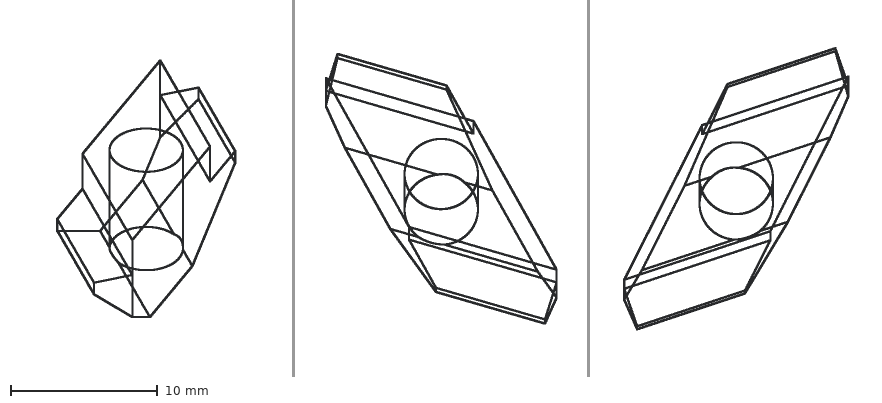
import cadquery as cq

length = 19.0
width = 14.0
height = 8.3

neck_width = 8.5
neck_height = 2.95
flange_edge_height = 0.99
base_width = 4.64

hole_diameter = 5.0

flange_top = height - neck_height
flange_bottom = flange_top - flange_edge_height

section = (
    cq.Workplane("YZ")
    .moveTo(base_width / 2, 0)
    .lineTo(width / 2, flange_bottom)
    .lineTo(width / 2, flange_top)
    .lineTo(neck_width / 2, flange_top)
    .lineTo(neck_width / 2, height)
    .lineTo(0, height)
    .lineTo(0, 0)
    .close()
)
half_bar = section.extrude(length / 2, both=True)
bar = half_bar.union(half_bar.mirror("XZ"))

end_x = length / 2
side_y = width / 2
cut_y = neck_width / 2
cut_x = end_x - (side_y + cut_y)
plan = (
    cq.Workplane("XY")
    .polyline([
        (-end_x, side_y),
        (cut_x, side_y),
        (end_x, -cut_y),
        (end_x, -side_y),
        (-cut_x, -side_y),
        (-end_x, cut_y),
    ])
    .close()
    .extrude(height)
)

hole = cq.Workplane("XY").circle(hole_diameter / 2).extrude(height)

result = bar.intersect(plan).cut(hole)